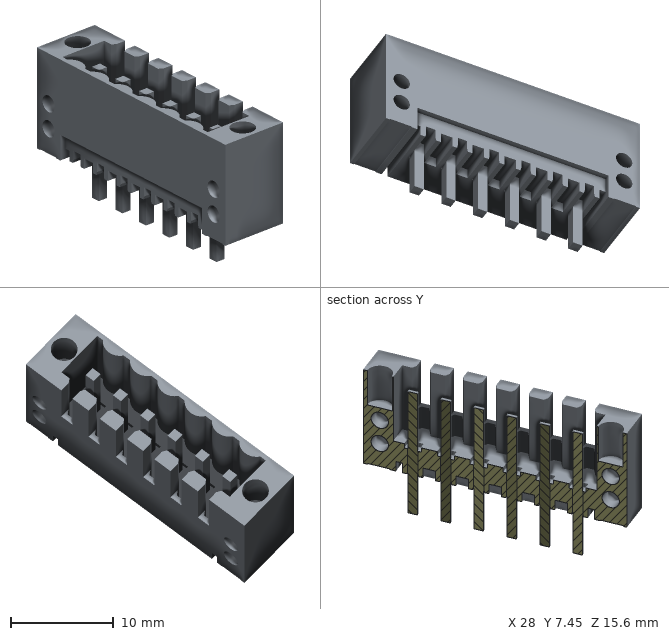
import cadquery as cq

LENGTH = 28.0
DEPTH = 7.45
HEIGHT = 11.0
TOTAL_HEIGHT = 15.55

PIN_COUNT = 6
PITCH = 3.5
PIN_SIZE = 1.05
PIN_Y = 3.5
PIN_TIP_DROP = 1.3
PIN_REAR_Y = PIN_Y + PIN_SIZE / 2
PIN_LENGTH = TOTAL_HEIGHT - PIN_TIP_DROP
PIN_BOTTOM = HEIGHT - TOTAL_HEIGHT
PIN_XS = [(i - (PIN_COUNT - 1) / 2) * PITCH for i in range(PIN_COUNT)]

POCKET_LENGTH = 21.6
POCKET_FLOOR = 3.5
POCKET_FRONT = 0.5
POCKET_REAR = 5.88
POCKET_DEPTH = HEIGHT - POCKET_FLOOR
SOCKET_SIZE = 1.75
SOCKET_DEPTH = 0.5

RIB_CHORD = 2.7
RIB_HEIGHT = 0.67
GROOVE_MOUTH = 2.0
GROOVE_ROOT = 0.78
GROOVE_DEPTH = 1.0
REAR_SLOT_WIDTH = 1.43
REAR_SLOT_DEPTH = 5.0

FLANGE_X = 12.25
SCREW_DIAMETER = 2.6
SCREW_Y = 3.75
SCREW_DEPTH = 4.0
CROSS_DIAMETER = 1.8
CROSS_ZS = (2.8, 5.52)
RELIEF_LENGTH = 2.38
RELIEF_X = 12.38
RELIEF_HEIGHT = 0.08

FRONT_RECESS_LENGTH = 21.05
FRONT_RECESS_HEIGHT = 2.8
FRONT_RECESS_DEPTH = 0.6
CHANNEL_WIDTH = 0.67
FOOT_HEIGHT = 1.12
NOTCH_WIDTH = 1.3
PIN_SLOT_HEIGHT = 1.35
FLARE_HEIGHT = 0.35
FLARE_WIDTH = 0.08


def block(x_center, width, y_start, y_end, z_start, height):
    """Box centred on x_center, between two Y planes, rising from z_start."""
    return (
        cq.Workplane("XY", origin=(x_center, (y_start + y_end) / 2, z_start))
        .box(width, y_end - y_start, height, centered=(True, True, False))
    )


def pin_block(x_center, size, z_start, height):
    """Square block on the axis of one pin."""
    return block(x_center, size, PIN_Y - size / 2, PIN_Y + size / 2, z_start, height)


def coding_rib(x_center):
    """Rounded rib standing on the front wall of the pocket."""
    return (
        cq.Workplane("XY", origin=(x_center, POCKET_FRONT, POCKET_FLOOR))
        .moveTo(-RIB_CHORD / 2, 0)
        .threePointArc((0, RIB_HEIGHT), (RIB_CHORD / 2, 0))
        .close()
        .extrude(POCKET_DEPTH)
    )


def coding_groove(x_center):
    """Tapered groove running down the rear wall of the pocket."""
    return (
        cq.Workplane("XY", origin=(x_center, POCKET_REAR, POCKET_FLOOR))
        .moveTo(-GROOVE_MOUTH / 2, 0)
        .lineTo(GROOVE_MOUTH / 2, 0)
        .lineTo(GROOVE_ROOT / 2, GROOVE_DEPTH)
        .lineTo(-GROOVE_ROOT / 2, GROOVE_DEPTH)
        .close()
        .extrude(POCKET_DEPTH)
    )


def plug_pocket():
    """Space for the plug, with ribs, grooves, rear slots and pin sockets."""
    pocket = block(0, POCKET_LENGTH, POCKET_FRONT, POCKET_REAR, POCKET_FLOOR, POCKET_DEPTH)
    for x in PIN_XS:
        pocket = pocket.cut(coding_rib(x))
        pocket = pocket.union(coding_groove(x))
        pocket = pocket.union(
            block(x, REAR_SLOT_WIDTH, POCKET_REAR, DEPTH, HEIGHT - REAR_SLOT_DEPTH, REAR_SLOT_DEPTH)
        )
        pocket = pocket.union(pin_block(x, SOCKET_SIZE, POCKET_FLOOR - SOCKET_DEPTH, SOCKET_DEPTH))
    return pocket


def pin_slot(x_center):
    """Slot from the front to one pin, flared at the underside."""
    half = PIN_SIZE / 2
    return (
        cq.Workplane("XZ", origin=(x_center, 0, 0))
        .moveTo(-half - FLARE_WIDTH, 0)
        .lineTo(-half, FLARE_HEIGHT)
        .lineTo(-half, PIN_SLOT_HEIGHT)
        .lineTo(half, PIN_SLOT_HEIGHT)
        .lineTo(half, FLARE_HEIGHT)
        .lineTo(half + FLARE_WIDTH, 0)
        .close()
        .extrude(-PIN_REAR_Y)
    )


def cut_underside(body):
    """Front recess, end channels, notches and pin slots that leave the feet."""
    body = body.cut(block(0, FRONT_RECESS_LENGTH, 0, FRONT_RECESS_DEPTH, 0, FRONT_RECESS_HEIGHT))
    channel_x = (FRONT_RECESS_LENGTH - CHANNEL_WIDTH) / 2
    for x in (-channel_x, channel_x):
        body = body.cut(block(x, CHANNEL_WIDTH, 0, DEPTH, 0, FOOT_HEIGHT))
    for x in PIN_XS[:-1]:
        body = body.cut(block(x + PITCH / 2, NOTCH_WIDTH, 0, PIN_REAR_Y, 0, FOOT_HEIGHT))
    for x in PIN_XS:
        body = body.cut(pin_slot(x))
    return body


def cut_flanges(body):
    """Screw hole, two cross holes and the underside relief in each flange."""
    for side in (-1, 1):
        flange_x = side * FLANGE_X
        screw_hole = (
            cq.Workplane("XY", origin=(flange_x, SCREW_Y, HEIGHT))
            .circle(SCREW_DIAMETER / 2)
            .extrude(-SCREW_DEPTH)
        )
        cross_holes = (
            cq.Workplane("XZ")
            .pushPoints([(flange_x, z) for z in CROSS_ZS])
            .circle(CROSS_DIAMETER / 2)
            .extrude(-DEPTH)
        )
        relief = block(side * RELIEF_X, RELIEF_LENGTH, 0, DEPTH, 0, RELIEF_HEIGHT)
        body = body.cut(screw_hole).cut(cross_holes).cut(relief)
    return body


def make_pin(x_center):
    """Straight square contact pin."""
    return pin_block(x_center, PIN_SIZE, PIN_BOTTOM, PIN_LENGTH)


def make_housing():
    """Header housing with a matching hole for every pin."""
    body = block(0, LENGTH, 0, DEPTH, 0, HEIGHT)
    body = body.cut(plug_pocket())
    body = cut_underside(body)
    body = cut_flanges(body)
    for x in PIN_XS:
        body = body.cut(make_pin(x))
    return body


housing = make_housing()
pins = [make_pin(x) for x in PIN_XS]

result = cq.Compound.makeCompound([housing.solids().val(), *[pin.val() for pin in pins]])